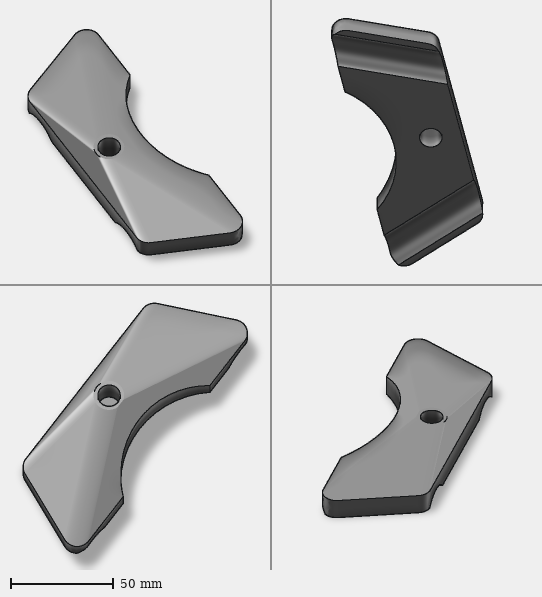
import cadquery as cq
import math

length = 142.54
back_y = 35.0
front_y = -15.0
height = 18.22
rim_height = 10.3

corner_radius = 7.0
side_tilt = math.radians(24)

summit_radius = 7.5
summit_flat_length = 4.8
hole_diameter = 11.0
recess_radius = 46.9
recess_bottom_y = 18.5
groove_front_x = 39.0
groove_radius = 11.7
groove_depth = 4.4

back_center_y = back_y - corner_radius
front_center_y = front_y + corner_radius
back_center_x = length / 2 - corner_radius
front_center_x = back_center_x - (back_center_y - front_center_y) * math.tan(side_tilt)

quarter = math.pi / 2
full_turn = 2 * math.pi
summit_flat_angle = math.asin(summit_flat_length / 2 / summit_radius)
right_side = -side_tilt
right_side_next = right_side + full_turn
left_side = math.pi + side_tilt
back_side = quarter
front_side = 3 * quarter
summit_back_right = back_side - summit_flat_angle
summit_back_left = back_side + summit_flat_angle
corners = [
    ((back_center_x, back_center_y), (right_side, back_side), (right_side, summit_back_right)),
    ((-back_center_x, back_center_y), (back_side, left_side), (summit_back_left, left_side)),
    ((-front_center_x, front_center_y), (left_side, front_side), (left_side, front_side)),
    ((front_center_x, front_center_y), (front_side, right_side_next), (front_side, right_side_next)),
]
summit_center = (0, 0)


def circle_point(center, radius, angle, z):
    """Point on a horizontal circle."""
    return cq.Vector(center[0] + radius * math.cos(angle), center[1] + radius * math.sin(angle), z)


def arc(center, radius, start, end, z):
    """Counterclockwise horizontal arc between two directions."""
    angles = (start, (start + end) / 2, end)
    return cq.Edge.makeThreePointArc(*[circle_point(center, radius, angle, z) for angle in angles])


def face_between(*points):
    """Flat face with straight edges through the points."""
    return cq.Face.makeFromWires(cq.Wire.makePolygon(points, close=True))


def make_body():
    """Plate whose rim rises to a summit by ruled faces at the corners and flats between them."""
    faces = []
    bottom_edges = []
    summit_edges = []
    for index, (center, turn, summit_turn) in enumerate(corners):
        bottom_arc = arc(center, corner_radius, *turn, 0)
        rim_arc = arc(center, corner_radius, *turn, rim_height)
        summit_arc = arc(summit_center, summit_radius, *summit_turn, height)
        faces.append(cq.Face.makeRuledSurface(bottom_arc, rim_arc))
        faces.append(cq.Face.makeRuledSurface(rim_arc, summit_arc))

        next_center, next_turn, next_summit_turn = corners[(index + 1) % len(corners)]
        bottom_a = circle_point(center, corner_radius, turn[1], 0)
        bottom_b = circle_point(next_center, corner_radius, next_turn[0], 0)
        rim_a = circle_point(center, corner_radius, turn[1], rim_height)
        rim_b = circle_point(next_center, corner_radius, next_turn[0], rim_height)
        summit_a = circle_point(summit_center, summit_radius, summit_turn[1], height)
        faces.append(face_between(bottom_a, bottom_b, rim_b, rim_a))

        bottom_edges += [bottom_arc, cq.Edge.makeLine(bottom_a, bottom_b)]
        summit_edges.append(summit_arc)
        if turn[1] == back_side:
            summit_b = circle_point(summit_center, summit_radius, next_summit_turn[0], height)
            faces.append(face_between(rim_a, rim_b, summit_b, summit_a))
            summit_edges.append(cq.Edge.makeLine(summit_a, summit_b))
        else:
            faces.append(face_between(rim_a, rim_b, summit_a))

    for edges in (bottom_edges, summit_edges):
        faces.append(cq.Face.makeFromWires(cq.Wire.assembleEdges(edges)))
    return cq.Workplane(cq.Solid.makeSolid(cq.Shell.makeShell(faces)).fix())


def make_hole():
    """Vertical through hole at the summit."""
    return cq.Workplane().circle(hole_diameter / 2).extrude(height)


def make_recess():
    """Cylinder that hollows the back edge."""
    return cq.Workplane().center(0, recess_bottom_y + recess_radius).circle(recess_radius).extrude(height)


def make_groove(side):
    """Round underside groove parallel to one slanted end; side is -1 or 1."""
    direction = cq.Vector(side * math.sin(side_tilt), math.cos(side_tilt), 0)
    front_point = cq.Vector(side * groove_front_x, front_y, groove_depth - groove_radius)
    overrun = back_y - front_y
    start = front_point - direction * overrun
    groove_length = 3 * overrun
    return cq.Workplane(cq.Solid.makeCylinder(groove_radius, groove_length, start, direction))


result = make_body().cut(make_hole()).cut(make_recess())
for side in (-1, 1):
    result = result.cut(make_groove(side))